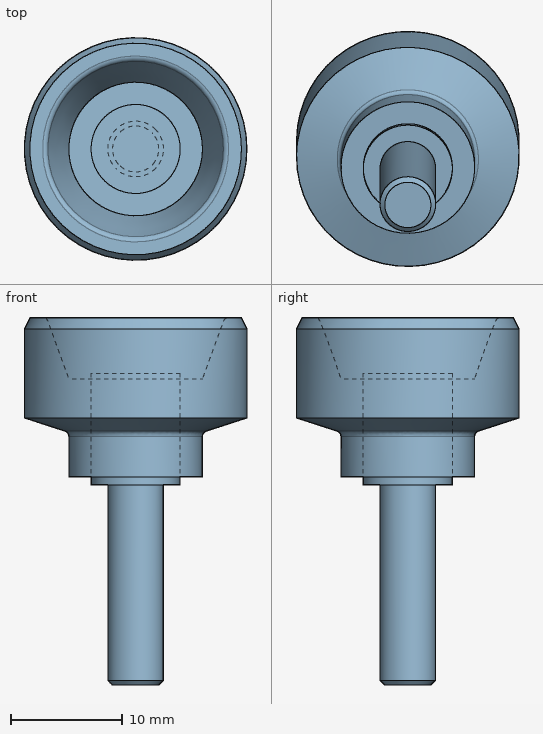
import cadquery as cq
import math


knob_radius = 10.0
rim_chamfer_width = 0.5
rim_chamfer_height = 1.0
grip_bottom_z = -9.0
hub_radius = 6.0
underside_angle = 18.0
hub_bottom_z = -14.3
hub_fillet_radius = 0.5

recess_depth = 5.5
recess_floor_radius = 6.0
recess_mouth_radius = 8.0
recess_lip_radius = 0.5

head_radius = 4.0
head_proud_height = 0.5
head_bottom_z = -15.0
stud_radius = 2.5
stud_end_z = -33.0
stud_end_chamfer = 0.43

recess_floor_z = -recess_depth
head_top_z = recess_floor_z + head_proud_height
underside_inner_z = grip_bottom_z - math.tan(math.radians(underside_angle)) * (knob_radius - hub_radius)
selection_margin = 0.1


def make_knob():
    """Turned knob with a dished top, a hub below and a through bore for the stud head."""
    body = (
        cq.Workplane("XZ")
        .moveTo(head_radius, recess_floor_z)
        .lineTo(recess_floor_radius, recess_floor_z)
        .lineTo(recess_mouth_radius, 0)
        .lineTo(knob_radius - rim_chamfer_width, 0)
        .lineTo(knob_radius, -rim_chamfer_height)
        .lineTo(knob_radius, grip_bottom_z)
        .lineTo(hub_radius, underside_inner_z)
        .lineTo(hub_radius, hub_bottom_z)
        .lineTo(head_radius, hub_bottom_z)
        .close()
        .revolve(360, (0, 0, 0), (0, 1, 0))
    )
    hub_neck = cq.selectors.BoxSelector(
        (-knob_radius, -knob_radius, underside_inner_z - selection_margin),
        (knob_radius, knob_radius, underside_inner_z + selection_margin),
        boundingbox=True,
    )
    smallest_circle = cq.selectors.RadiusNthSelector(0)
    body = body.edges(hub_neck).fillet(hub_fillet_radius)
    return body.faces(">Z").edges(smallest_circle).fillet(recess_lip_radius)


def make_stud():
    """Stud whose head fills the knob bore and stands slightly proud of the recess floor."""
    head = (
        cq.Workplane("XY", origin=(0, 0, head_bottom_z))
        .circle(head_radius)
        .extrude(head_top_z - head_bottom_z)
    )
    shank = (
        cq.Workplane("XY", origin=(0, 0, stud_end_z))
        .circle(stud_radius)
        .extrude(head_bottom_z - stud_end_z)
        .faces("<Z")
        .chamfer(stud_end_chamfer)
    )
    return head.union(shank)


knob = make_knob()
stud = make_stud()

result = cq.Compound.makeCompound([knob.val(), stud.val()])